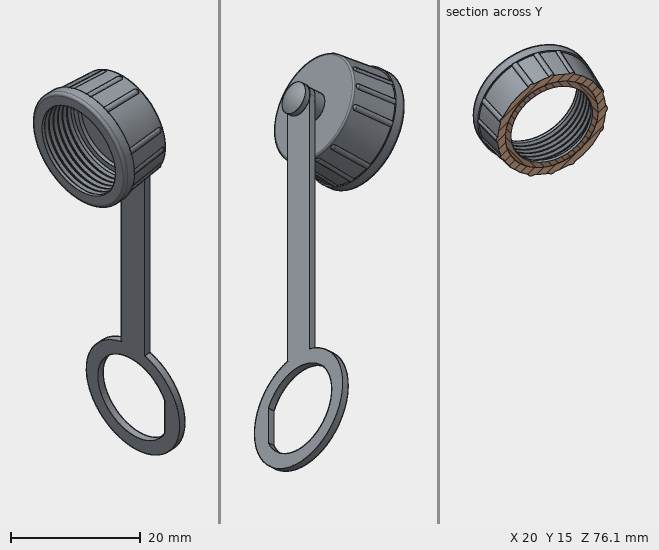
import cadquery as cq
import math


cap_radius = 10.0
cap_length = 10.0
flange_length = 2.0
flange_fillet = 0.5
draft = math.radians(5)
rib_height = 0.25
grip_front_radius = cap_radius - rib_height
grip_back_radius = grip_front_radius - (cap_length - flange_length) * math.tan(draft)
back_fillet = 0.3

rib_radius = 0.6
rib_pitch_angle = 22.5
rib_group_count = 4
rib_round_start = 9.0

bore_radius = 7.85
floor_depth = 7.7
thread_depth = 0.45
thread_pitch = 1.0
thread_crest_half_width = 0.1
thread_start = 0.5
thread_count = 6

gasket_thickness = 0.7
gasket_inner_radius = 6.9

strap_thickness = 1.2
strap_width = 5.0
strap_gap = 2.0
ring_drop = 56.12
ring_radius = 10.0
ring_hole_radius = 7.5
ring_flat_offset = 6.8
strap_front = cap_length + strap_gap
strap_back = strap_front + strap_thickness

post_radius = strap_width / 2
shank_radius = 1.5
knob_radius = 2.65
knob_tip = 15.0
dome_height = 0.8
knob_rim = knob_tip - dome_height


def along_y(start, radius, length):
    """Cylinder on the cap axis, from y = start."""
    base = cq.Workplane("XZ", origin=(0, start, 0))
    return base.circle(radius).extrude(-length)


def revolve_about_y(profile):
    return profile.close().revolve(360, (0, 0, 0), (0, 1, 0))


def make_shell():
    """Flange and tapered grip, with rounded front and back edges."""
    flange = along_y(0, cap_radius, flange_length).faces("<Y").edges().fillet(flange_fillet)
    grip = revolve_about_y(
        cq.Workplane("XY")
        .moveTo(0, flange_length)
        .lineTo(grip_front_radius, flange_length)
        .lineTo(grip_back_radius, cap_length)
        .lineTo(0, cap_length)
    )
    grip = grip.faces(">Y").edges().fillet(back_fillet)
    return flange.union(grip)


def make_rib():
    """Round rib on the +Z side that follows the draft of the grip and ends in a ball."""
    axis_height = cap_radius - rib_radius
    run = rib_round_start - flange_length
    length = run / math.cos(draft)
    start = cq.Vector(0, flange_length, axis_height)
    direction = cq.Vector(0, math.cos(draft), -math.sin(draft))
    lead_in = flange_length / 4
    rod = cq.Solid.makeCylinder(rib_radius, length + lead_in, start - direction * lead_in, direction)
    end = start + direction * length
    ball = cq.Workplane("XY").sphere(rib_radius).translate(end.toTuple())
    envelope = along_y(flange_length, cap_radius, cap_length - flange_length)
    return cq.Workplane(rod).union(ball).intersect(envelope)


def make_cavity():
    """Bore with a row of V-shaped thread grooves."""
    cavity = along_y(0, bore_radius, floor_depth)
    half_groove = thread_pitch / 2 - thread_crest_half_width
    for index in range(thread_count):
        middle = thread_start + (index + 0.5) * thread_pitch
        groove = revolve_about_y(
            cq.Workplane("XY")
            .moveTo(0, middle - half_groove)
            .lineTo(bore_radius, middle - half_groove)
            .lineTo(bore_radius + thread_depth, middle)
            .lineTo(bore_radius, middle + half_groove)
            .lineTo(0, middle + half_groove)
        )
        cavity = cavity.union(groove)
    return cavity


def make_knob():
    """Post, shank through the strap, and domed head."""
    post = along_y(cap_length, post_radius, strap_gap)
    shank = along_y(strap_front, shank_radius, strap_thickness)
    dome_radius = (knob_radius**2 + dome_height**2) / (2 * dome_height)
    half_angle = math.asin(knob_radius / dome_radius) / 2
    dome_middle = (
        dome_radius * math.sin(half_angle),
        knob_tip - dome_radius * (1 - math.cos(half_angle)),
    )
    head = revolve_about_y(
        cq.Workplane("XY")
        .moveTo(0, strap_back)
        .lineTo(knob_radius, strap_back)
        .lineTo(knob_radius, knob_rim)
        .threePointArc(dome_middle, (0, knob_tip))
    )
    return post.union(shank).union(head)


def make_cap():
    cap = make_shell()
    rib = make_rib()
    for group in range(rib_group_count):
        for step in (-1, 0, 1):
            angle = group * 360 / rib_group_count + step * rib_pitch_angle
            cap = cap.union(rib.rotate((0, 0, 0), (0, 1, 0), angle))
    return cap.union(make_knob()).cut(make_cavity())


def make_gasket():
    """Flat ring that lies on the cavity floor."""
    front = floor_depth - gasket_thickness
    ring = along_y(front, bore_radius, gasket_thickness)
    return ring.cut(along_y(front, gasket_inner_radius, gasket_thickness))


def make_strap():
    """Tongue with a rounded top around the knob, and a ring with a D-shaped hole."""
    tongue = cq.Workplane("XY").box(strap_width, strap_thickness, ring_drop, centered=(True, False, False))
    tongue = tongue.translate((0, strap_front, -ring_drop))
    top = along_y(strap_front, strap_width / 2, strap_thickness)
    lower = (0, 0, -ring_drop)
    ring = along_y(strap_front, ring_radius, strap_thickness).translate(lower)
    hole = along_y(strap_front, ring_hole_radius, strap_thickness)
    flat_cut = cq.Workplane("XY").box(
        ring_hole_radius + ring_flat_offset, strap_thickness, 2 * ring_hole_radius, centered=(False, False, True)
    )
    hole = hole.intersect(flat_cut.translate((-ring_hole_radius, strap_front, 0)))
    strap = tongue.union(top).union(ring).cut(hole.translate(lower))
    return strap.cut(along_y(strap_front, shank_radius, strap_thickness))


cap = make_cap()
gasket = make_gasket()
strap = make_strap()

result = cq.Compound.makeCompound([cap.val(), gasket.val(), strap.val()])